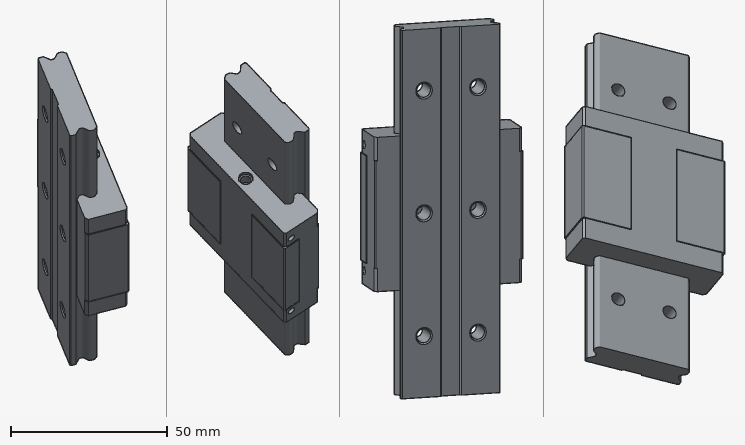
import cadquery as cq


RAIL_LENGTH = 120.0
RAIL_WIDTH = 33.0
RAIL_HEIGHT = 9.4
RAIL_TOP_BEVEL_X = 1.0
RAIL_TOP_BEVEL_Y = 1.2
RAIL_TOP_ROUND = 0.5
RAIL_FOOT_BEVEL = 0.4

GROOVE_DEPTH = 1.9
GROOVE_TOP_Y = 6.6
GROOVE_FLOOR_TOP_Y = 4.9
GROOVE_FLOOR_BOTTOM_Y = 3.7
GROOVE_BOTTOM_Y = 1.9
GROOVE_ROUND = 0.7
LIP_ROUND = 1.5

RELIEF_WIDTH = 7.0
RELIEF_DEPTH = 0.5
RELIEF_WALL_SLOPE = 0.5

RAIL_HOLE_DIAMETER = 4.5
RAIL_HOLE_BEVEL = 0.5
RAIL_HOLE_SPACING_X = 18.0
RAIL_HOLE_PITCH_Z = 40.0
RAIL_HOLE_ROWS = 3

BLOCK_WIDTH = 50.0
BLOCK_TOP_Y = 17.0
BLOCK_BOTTOM_Y = 2.5
BLOCK_LENGTH = 50.3
CENTER_LENGTH = 35.0
END_SETBACK = 0.4
CENTER_BOTTOM_BEVEL = 0.8
END_BOTTOM_BEVEL = 1.0
CENTER_TOP_BEVEL = 0.5
END_TOP_BEVEL = 0.7
TOP_RECESS_WIDTH = 16.0
SIDE_PAD_HEIGHT = 6.1

PORT_BORE_DIAMETER = 4.5
PORT_BORE_DEPTH = 1.2
PORT_DIAMETER = 3.4
PORT_DEPTH = 4.8
PORT_Y = 13.0
SIDE_HOLE_DIAMETER = 2.5
SIDE_HOLE_DEPTH = 2.4
SIDE_HOLE_Y = 13.9
SIDE_HOLE_SPACING_Z = 41.0


def extrude_centered(sketch, length):
    """Extrude an XY outline along Z, half to each side of the XY plane."""
    return sketch.extrude(length / 2, both=True)


def rail_blank(length):
    """Rail section without slot or holes, at the given length."""
    half = RAIL_WIDTH / 2
    right_flank = [
        (half - RAIL_FOOT_BEVEL, 0),
        (half, RAIL_FOOT_BEVEL),
        (half, GROOVE_BOTTOM_Y),
        (half - GROOVE_DEPTH, GROOVE_FLOOR_BOTTOM_Y),
        (half - GROOVE_DEPTH, GROOVE_FLOOR_TOP_Y),
        (half, GROOVE_TOP_Y),
        (half, RAIL_HEIGHT - RAIL_TOP_BEVEL_Y),
        (half - RAIL_TOP_BEVEL_X, RAIL_HEIGHT),
    ]
    left_flank = [(-x, y) for x, y in reversed(right_flank)]
    blank = extrude_centered(cq.Workplane("XY").polyline(right_flank + left_flank).close(), length)
    rounds = [
        (half - GROOVE_DEPTH, GROOVE_FLOOR_BOTTOM_Y, GROOVE_ROUND),
        (half - GROOVE_DEPTH, GROOVE_FLOOR_TOP_Y, GROOVE_ROUND),
        (half, GROOVE_TOP_Y, LIP_ROUND),
        (half, RAIL_HEIGHT - RAIL_TOP_BEVEL_Y, RAIL_TOP_ROUND),
        (half - RAIL_TOP_BEVEL_X, RAIL_HEIGHT, RAIL_TOP_ROUND),
    ]
    for x, y, radius in rounds:
        for side in (-1, 1):
            blank = blank.edges(cq.NearestToPointSelector((side * x, y, 0))).fillet(radius)
    return blank


def rail_relief():
    """Shallow slot with sloping walls along the mounting face."""
    mouth = RELIEF_WIDTH / 2
    floor = mouth - RELIEF_WALL_SLOPE
    outline = [(-mouth, 0), (mouth, 0), (floor, RELIEF_DEPTH), (-floor, RELIEF_DEPTH)]
    return extrude_centered(cq.Workplane("XY").polyline(outline).close(), RAIL_LENGTH)


def rail_holes():
    """Through holes along Y, bevelled at the mounting face."""
    radius = RAIL_HOLE_DIAMETER / 2
    centers = cq.Workplane("XZ").rarray(RAIL_HOLE_SPACING_X, RAIL_HOLE_PITCH_Z, 2, RAIL_HOLE_ROWS)
    shanks = centers.circle(radius).extrude(-RAIL_HEIGHT)
    bevels = centers.circle(radius + RAIL_HOLE_BEVEL).extrude(-RAIL_HOLE_BEVEL, taper=45)
    return shanks.union(bevels)


def make_rail():
    return rail_blank(RAIL_LENGTH).cut(rail_relief()).cut(rail_holes())


def bevelled_bar(width, top_y, length, bottom_bevel, top_bevel):
    """Bar with bevelled long edges, standing on the carriage's lower face."""
    height = top_y - BLOCK_BOTTOM_Y
    bar = cq.Workplane("XY").box(width, height, length).translate((0, BLOCK_BOTTOM_Y + height / 2, 0))
    return bar.edges("|Z and <Y").chamfer(bottom_bevel).edges("|Z and >Y").chamfer(top_bevel)


def carriage_body():
    """Long bar with set-back ends around a slightly larger center section."""
    end_width = BLOCK_WIDTH - 2 * END_SETBACK
    end_top_y = BLOCK_TOP_Y - END_SETBACK
    ends = bevelled_bar(end_width, end_top_y, BLOCK_LENGTH, END_BOTTOM_BEVEL, END_TOP_BEVEL)
    center = bevelled_bar(BLOCK_WIDTH, BLOCK_TOP_Y, CENTER_LENGTH, CENTER_BOTTOM_BEVEL, CENTER_TOP_BEVEL)

    top_recess = cq.Workplane("XY").box(TOP_RECESS_WIDTH, END_SETBACK, CENTER_LENGTH).translate(
        (0, BLOCK_TOP_Y - END_SETBACK / 2, 0)
    )
    relief_height = BLOCK_TOP_Y - SIDE_PAD_HEIGHT - BLOCK_BOTTOM_Y
    side_relief = cq.Workplane("XY").box(END_SETBACK, relief_height, CENTER_LENGTH).translate(
        ((END_SETBACK - BLOCK_WIDTH) / 2, BLOCK_BOTTOM_Y + relief_height / 2, 0)
    )
    return ends.union(center.cut(top_recess).cut(side_relief))


def lubrication_port():
    """Counterbored blind hole in the +Z end."""
    start = cq.Workplane("XY", origin=(0, PORT_Y, BLOCK_LENGTH / 2))
    bore = start.circle(PORT_BORE_DIAMETER / 2).extrude(-PORT_BORE_DEPTH)
    return bore.union(start.circle(PORT_DIAMETER / 2).extrude(-PORT_DEPTH))


def side_holes():
    """Blind holes near both ends of the -X side."""
    wall_x = END_SETBACK - BLOCK_WIDTH / 2
    centers = [(SIDE_HOLE_Y, side * SIDE_HOLE_SPACING_Z / 2) for side in (-1, 1)]
    start = cq.Workplane("YZ", origin=(wall_x, 0, 0)).pushPoints(centers)
    return start.circle(SIDE_HOLE_DIAMETER / 2).extrude(SIDE_HOLE_DEPTH)


def make_carriage():
    channel = rail_blank(BLOCK_LENGTH)
    return carriage_body().cut(channel).cut(lubrication_port()).cut(side_holes())


rail = make_rail()
carriage = make_carriage()

result = cq.Compound.makeCompound([rail.val(), carriage.val()])